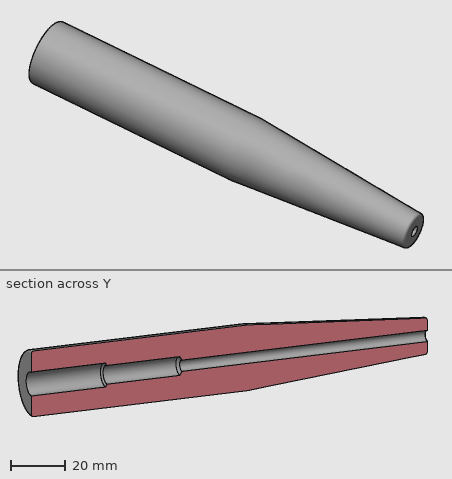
import cadquery as cq
import math

LENGTH = 160.0
BODY_RADIUS = 25.4 / 2
SHANK_LENGTH = 87.5
TIP_RADIUS = 7.0
EDGE_ROUND = 1.0

MOUTH_RADIUS = 9.0 / 2
BORE_RADIUS = 7.0 / 2
PASSAGE_RADIUS = 4.13 / 2
MOUTH_DEPTH = 30.0
BORE_DEPTH = 60.0
DRILL_POINT_ANGLE = 118.0

BACK_X = -LENGTH / 2
FRONT_X = LENGTH / 2
SHOULDER_X = BACK_X + SHANK_LENGTH


def revolve_about_x(profile):
    """Solid of revolution from a half profile of (x, radius) points."""
    return cq.Workplane("XY").polyline(profile).close().revolve(360, (0, 0, 0), (1, 0, 0))


def make_body():
    """Cylindrical shank with a conical nose, the rims of both end faces rounded."""
    profile = [
        (BACK_X, 0),
        (BACK_X, BODY_RADIUS),
        (SHOULDER_X, BODY_RADIUS),
        (FRONT_X, TIP_RADIUS),
        (FRONT_X, 0),
    ]
    return revolve_about_x(profile).faces("<X or >X").edges().fillet(EDGE_ROUND)


def drill(radius, depth):
    """Cutter for a pointed hole from the shank end; depth is that of its full diameter."""
    point_length = radius / math.tan(math.radians(DRILL_POINT_ANGLE / 2))
    floor_x = BACK_X + depth
    profile = [
        (BACK_X, 0),
        (BACK_X, radius),
        (floor_x, radius),
        (floor_x + point_length, 0),
    ]
    return revolve_about_x(profile)


mouth = drill(MOUTH_RADIUS, MOUTH_DEPTH)
bore = drill(BORE_RADIUS, BORE_DEPTH)
passage = drill(PASSAGE_RADIUS, LENGTH)

result = make_body().cut(mouth).cut(bore).cut(passage)